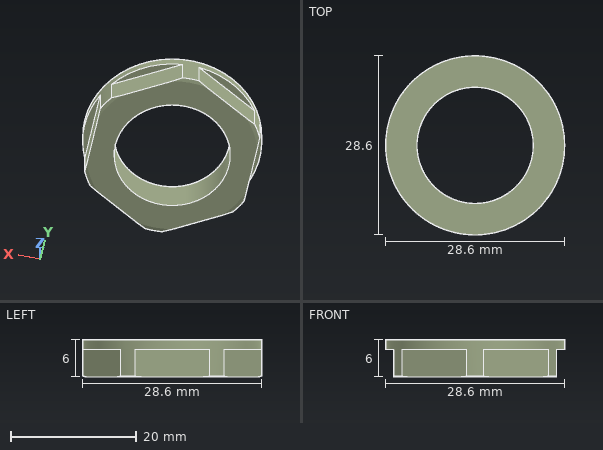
import cadquery as cq

outer_diameter = 28.6
bore_diameter = 18.5
total_height = 6.0
flange_thickness = 1.6
across_flats = 26.0
chamfer_width = 0.65
chamfer_height = 0.17

outer_radius = outer_diameter / 2
hex_height = total_height - flange_thickness


def round_blank():
    """Disc centred on Z with a shallow conical chamfer around its bottom edge."""
    profile = [
        (0, 0),
        (outer_radius - chamfer_width, 0),
        (outer_radius, chamfer_height),
        (outer_radius, total_height),
        (0, total_height),
    ]
    return cq.Workplane("XZ").polyline(profile).close().revolve(360, (0, 0, 0), (0, 1, 0))


def flat_cutter(angle):
    """Block that removes the material outside one hexagon flat, below the flange."""
    block = cq.Workplane("XY").box(
        outer_diameter, outer_diameter, hex_height, centered=(False, True, False)
    )
    return block.translate((across_flats / 2, 0, 0)).rotate((0, 0, 0), (0, 0, 1), angle)


result = round_blank()
for flat_angle in range(0, 360, 60):
    result = result.cut(flat_cutter(flat_angle))

bore = cq.Workplane("XY").circle(bore_diameter / 2).extrude(total_height)
result = result.cut(bore)